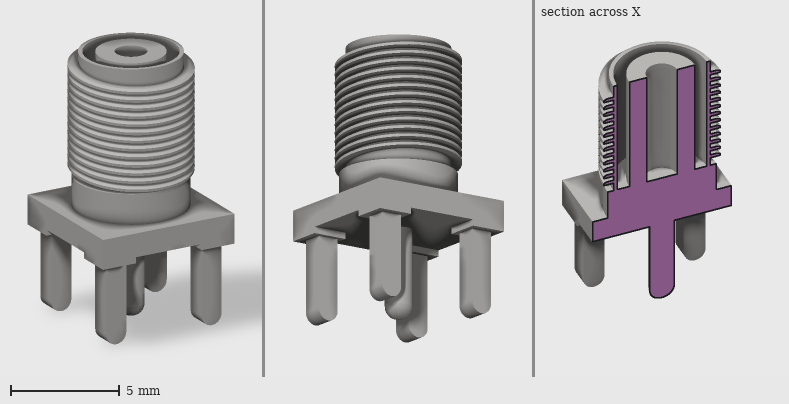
import cadquery as cq

plate_side = 7.0
plate_top = 1.47
feet_height = 0.3
feet_gap = 3.5

collar_diameter = 5.5
collar_height = 1.5
barrel_diameter = 4.9
barrel_height = 6.03
barrel_base = plate_top + collar_height
barrel_top = barrel_base + barrel_height

bore_diameter = 4.5
core_diameter = 3.3
contact_hole_diameter = 1.52
socket_depth = barrel_height
socket_floor = barrel_top - socket_depth

leg_spacing = 5.08
leg_width = 1.05
leg_length = 3.97
pin_diameter = 1.27
pin_tip_radius = 0.6

ring_count = 13
ring_pitch = 0.4
ring_diameter = 5.89
ring_thickness = ring_pitch / 2
ring_bevel_width = 0.17
ring_bevel_height = 0.07
ring_tilt = 5.0


def cylinder(diameter, base, height):
    return cq.Workplane("XY").workplane(offset=base).circle(diameter / 2).extrude(height)


def base_plate():
    """Square plate with a cross-shaped relief underneath that leaves the corner feet."""
    plate = cq.Workplane("XY").rect(plate_side, plate_side).extrude(plate_top)
    channel_x = cq.Workplane("XY").rect(plate_side, feet_gap).extrude(feet_height)
    channel_y = cq.Workplane("XY").rect(feet_gap, plate_side).extrude(feet_height)
    return plate.cut(channel_x).cut(channel_y)


def barrel():
    collar = cylinder(collar_diameter, plate_top, collar_height)
    return collar.union(cylinder(barrel_diameter, barrel_base, barrel_height))


def thread_ring(underside_height):
    """Disc with a bevelled upper rim, tilted about Y through the centre of its underside."""
    radius = ring_diameter / 2
    ring = (
        cq.Workplane("XZ")
        .lineTo(radius, 0)
        .lineTo(radius, ring_thickness - ring_bevel_height)
        .lineTo(radius - ring_bevel_width, ring_thickness)
        .lineTo(0, ring_thickness)
        .close()
        .revolve(360, (0, 0, 0), (0, 1, 0))
    )
    return ring.rotate((0, 0, 0), (0, 1, 0), ring_tilt).translate((0, 0, underside_height))


def socket():
    """Space removed from the barrel: the mating groove and the contact hole."""
    bore = cylinder(bore_diameter, socket_floor, socket_depth)
    groove = bore.cut(cylinder(core_diameter, socket_floor, socket_depth))
    return groove.union(cylinder(contact_hole_diameter, socket_floor, socket_depth))


def leg(x, y):
    """Square leg whose lower end is a half cylinder lying along X."""
    half_width = leg_width / 2
    tip_start = half_width - leg_length
    return (
        cq.Workplane("YZ")
        .moveTo(-half_width, 0)
        .lineTo(-half_width, tip_start)
        .threePointArc((0, -leg_length), (half_width, tip_start))
        .lineTo(half_width, 0)
        .close()
        .extrude(half_width, both=True)
        .translate((x, y, 0))
    )


def contact_pin():
    pin = cylinder(pin_diameter, -leg_length, leg_length + feet_height)
    return pin.faces("<Z").edges().fillet(pin_tip_radius)


result = base_plate().union(barrel())

for number in range(1, ring_count + 1):
    result = result.union(thread_ring(barrel_base + number * ring_pitch))

result = result.cut(socket())

for x_side in (-1, 1):
    for y_side in (-1, 1):
        result = result.union(leg(x_side * leg_spacing / 2, y_side * leg_spacing / 2))

result = result.union(contact_pin())